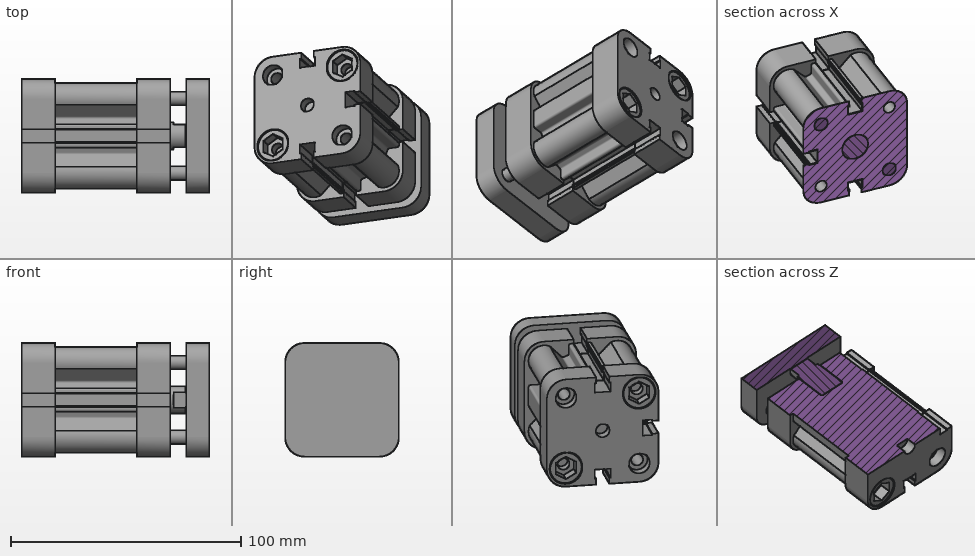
import cadquery as cq
import math


length = 81.5
width = 49.5
half_width = width / 2

cap_length = 14.5
housing_length = 64.55
plate_thickness = 10.0
plate_start = length - plate_thickness
front_cap_start = housing_length - cap_length
barrel_length = front_cap_start - cap_length

corner_offset = 16.2
corner_radius = half_width - corner_offset
barrel_half = 23.0
tube_radius = barrel_half - corner_offset

rib_half = 5.1
rib_round = 1.1
rib_foot_height = 18.5
rib_foot_radius = 0.9
groove_floor_edge = (5.7, 17.6)
groove_root = (7.3, 17.0)
groove_root_radius = 1.1
groove_slope_start = 8.5
groove_slope_end = 13.5

slot_mouth_half = 2.9
slot_inner_half = 3.5
slot_lip_depth = 2.8
slot_depth = 6.9
barrel_slot_inset = 0.285
slot_mouth_chamfer = 0.53

bore_diameter = 5.2
counterbore_diameter = 9.1
counterbore_depth = 4.9
pilot_diameter = 6.0
pilot_depth = 4.9

plug_diameter = 14.5
plug_recess = 0.4
plug_length = 9.8
plug_edge_chamfer = 0.3
socket_across_flats = 9.0
socket_depth = 5.3

rod_diameter = 12.0
rod_flat_half = 5.0
rod_flat_start = housing_length + 2.2
rod_flat_end_radius = 20.4
rod_end_chamfer = 0.3
guide_diameter = 6.0

mounting_corners = [(corner_offset, corner_offset), (-corner_offset, -corner_offset)]
guide_corners = [(-corner_offset, corner_offset), (corner_offset, -corner_offset)]

side_turns = [0, 90, 180, 270]
slotted_side_turns = [0, 90, 180]


def section(x):
    """Workplane across the stroke axis, with local axes Y and Z."""
    return cq.Workplane("YZ", origin=(x, 0, 0))


def turn(shape, angle):
    """Turn a shape about the stroke axis."""
    return shape.rotate((0, 0, 0), (1, 0, 0), angle)


def rounded_block(start, thickness):
    """Square block with rounded corners, as used for the caps and the plate."""
    block = section(start).rect(width, width).extrude(thickness)
    return block.edges("|X").fillet(corner_radius)


def rods(start, end, diameter, centres):
    """Round bars along X."""
    return section(start).pushPoints(centres).circle(diameter / 2).extrude(end - start)


def side_point(point, angle):
    """Carry a point of the top side, as (offset, height), round the stroke axis."""
    offset, height = point
    turned = math.radians(angle)
    return (
        offset * math.cos(turned) - height * math.sin(turned),
        offset * math.sin(turned) + height * math.cos(turned),
    )


def make_barrel():
    """Barrel with a middle rib on each side, set between grooves that run up to the tubes."""
    slope_drop = corner_offset - groove_slope_end
    slope_top = corner_offset + math.sqrt(tube_radius**2 - slope_drop**2)
    slope_bottom = slope_top - (groove_slope_end - groove_slope_start)

    half_side = [
        (groove_slope_end, slope_top, -tube_radius),
        (groove_slope_start, slope_bottom, 0),
        (*groove_root, groove_root_radius),
        (*groove_floor_edge, 0),
        (rib_half, rib_foot_height, rib_foot_radius),
        (rib_half, barrel_half - rib_round, 0),
        (rib_half - rib_round, barrel_half, -rib_round),
    ]
    mirrored_radii = [0] + [radius for _, _, radius in half_side[:0:-1]]
    other_half = [
        (-offset, height, radius)
        for (offset, height, _), radius in zip(half_side[::-1], mirrored_radii)
    ]
    side = half_side + other_half

    offset, height, _ = side[-1]
    outline = section(cap_length).moveTo(*side_point((offset, height), side_turns[-1]))
    for angle in side_turns:
        for offset, height, radius in side:
            end = side_point((offset, height), angle)
            if radius:
                outline = outline.radiusArc(end, radius)
            else:
                outline = outline.lineTo(*end)
    return outline.close().extrude(barrel_length)


def t_slot(start, slot_length, inset):
    """T-slot cutter for the top side, narrowed all round by the inset."""
    mouth = slot_mouth_half - inset
    inner = slot_inner_half - inset
    lip = half_width - slot_lip_depth - inset
    floor = half_width - slot_depth + inset
    mouth_height = half_width - lip
    neck = section(start).center(0, lip + mouth_height / 2).rect(2 * mouth, mouth_height)
    chamber = section(start).center(0, (lip + floor) / 2).rect(2 * inner, lip - floor)
    return neck.extrude(slot_length).union(chamber.extrude(slot_length))


def slot_mouth_bevel():
    """Cutter that bevels both edges of the slot mouth of the barrel."""
    mouth = slot_mouth_half - barrel_slot_inset
    low = barrel_half - slot_mouth_chamfer
    half_outline = [(0, low), (mouth, low), (mouth + slot_mouth_chamfer, barrel_half), (0, barrel_half)]
    half_bevel = section(cap_length).polyline(half_outline).close().extrude(barrel_length)
    return half_bevel.union(half_bevel.mirror("XZ"))


def make_housing():
    housing = (
        make_barrel()
        .union(rounded_block(0, cap_length))
        .union(rounded_block(front_cap_start, cap_length))
    )
    cutters = [
        t_slot(0, cap_length, 0),
        t_slot(cap_length, barrel_length, barrel_slot_inset),
        slot_mouth_bevel(),
        t_slot(front_cap_start, cap_length, 0),
    ]
    for angle in slotted_side_turns:
        for cutter in cutters:
            housing = housing.cut(turn(cutter, angle))

    housing = housing.cut(rods(0, housing_length, bore_diameter, mounting_corners))
    housing = housing.cut(rods(0, counterbore_depth, counterbore_diameter, mounting_corners))
    housing = housing.cut(rods(0, pilot_depth, pilot_diameter, [(0, 0)]))

    housing = housing.cut(rods(0, plug_recess + plug_length, plug_diameter, guide_corners))

    housing = housing.cut(rods(front_cap_start, housing_length, rod_diameter, [(0, 0)]))
    return housing.cut(rods(front_cap_start, housing_length, guide_diameter, guide_corners))


def make_plug(y, z):
    """Bored plug, set below the rear face, with a hexagon socket whose points face up and down."""
    across_corners = socket_across_flats / math.cos(math.pi / 6)
    plug = rods(plug_recess, plug_recess + plug_length, plug_diameter, [(0, 0)])
    plug = plug.faces("<X").chamfer(plug_edge_chamfer)
    socket = section(plug_recess).polygon(6, across_corners).extrude(socket_depth)
    plug = plug.cut(turn(socket, 90))
    plug = plug.cut(rods(plug_recess, plug_recess + plug_length, bore_diameter, [(0, 0)]))
    return plug.translate((0, y, z))


def make_piston_rod():
    """Round rod with a pair of wrench flats next to the plate."""
    rod = rods(front_cap_start, plate_start, rod_diameter, [(0, 0)])
    rod = rod.faces(">X").chamfer(rod_end_chamfer)
    flat = (
        cq.Workplane("XZ", origin=(0, -rod_flat_half, 0))
        .moveTo(plate_start, -rod_diameter / 2)
        .lineTo(rod_flat_start, -rod_diameter / 2)
        .radiusArc((rod_flat_start, rod_diameter / 2), rod_flat_end_radius)
        .lineTo(plate_start, rod_diameter / 2)
        .close()
        .extrude(rod_diameter)
    )
    return rod.cut(flat).cut(flat.mirror("XZ"))


def make_yoke():
    """Front plate with its two guide rods."""
    plate = rounded_block(plate_start, plate_thickness)
    return plate.union(rods(front_cap_start, plate_start, guide_diameter, guide_corners))


housing = make_housing()
plugs = [make_plug(y, z) for y, z in guide_corners]
piston_rod = make_piston_rod()
yoke = make_yoke()

result = cq.Compound.makeCompound(
    [housing.val(), piston_rod.val(), yoke.val(), *[plug.val() for plug in plugs]]
)